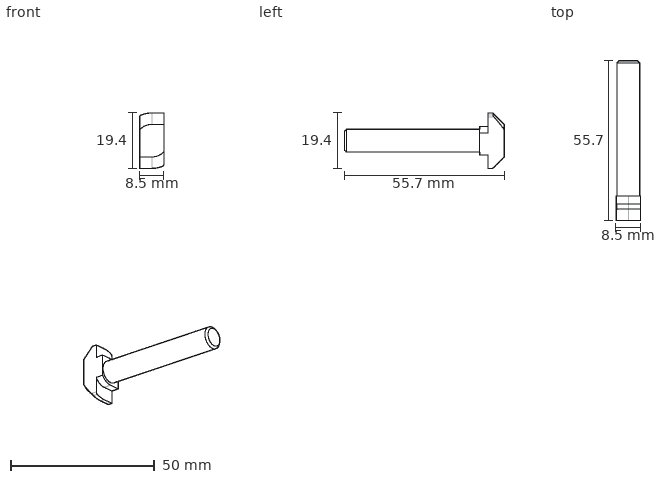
import cadquery as cq
import math

total_length = 55.7
shank_diameter = 8.0
shank_chamfer = 0.8

head_width = 8.5
head_radius = 9.7
head_thickness = 5.75
head_bevel = 4.0
corner_radius = 0.85

neck_radius = 5.0
neck_length = 2.9

half_width = head_width / 2
neck_start = head_thickness
neck_end = head_thickness + neck_length


def head_profile():
    """Half profile of head and neck in the YZ plane, closed along the Y axis."""
    return cq.Workplane("YZ").polyline([
        (0, 0),
        (0, head_radius - head_bevel),
        (head_bevel, head_radius),
        (neck_start, head_radius),
        (neck_start, neck_radius),
        (neck_end, neck_radius),
        (neck_end, 0),
    ]).close()


def square_quarter():
    """Upper quarter at +X, with straight sides that stop rotation in the slot."""
    return head_profile().extrude(half_width)


def rounded_quarter():
    """Upper quarter at -X, turned about the Y axis so the head can swing in the slot."""
    turned = head_profile().revolve(360, (0, 0), (1, 0))

    center_x = -half_width + corner_radius
    center_z = math.sqrt((head_radius - corner_radius) ** 2 - center_x ** 2)
    tangent_scale = head_radius / (head_radius - corner_radius)
    tangent_point = (center_x * tangent_scale, center_z * tangent_scale)

    corner_angle = (math.pi + math.atan2(center_z, center_x)) / 2
    corner_middle = (
        center_x + corner_radius * math.cos(corner_angle),
        center_z + corner_radius * math.sin(corner_angle),
    )
    head_angle = (math.pi / 2 + math.atan2(center_z, center_x)) / 2
    head_middle = (head_radius * math.cos(head_angle), head_radius * math.sin(head_angle))

    column = (
        cq.Workplane("XZ")
        .lineTo(-half_width, 0)
        .lineTo(-half_width, center_z)
        .threePointArc(corner_middle, tangent_point)
        .threePointArc(head_middle, (0, head_radius))
        .close()
        .extrude(-neck_end)
    )
    return turned.intersect(column)


def shank():
    """Round shank with a chamfered free end."""
    return (
        cq.Workplane("XZ", origin=(0, neck_end, 0))
        .circle(shank_diameter / 2)
        .extrude(-(total_length - neck_end))
        .faces(">Y")
        .chamfer(shank_chamfer)
    )


upper_half = square_quarter().union(rounded_quarter())
lower_half = upper_half.rotate((0, 0, 0), (0, 1, 0), 180)
result = upper_half.union(lower_half).union(shank())